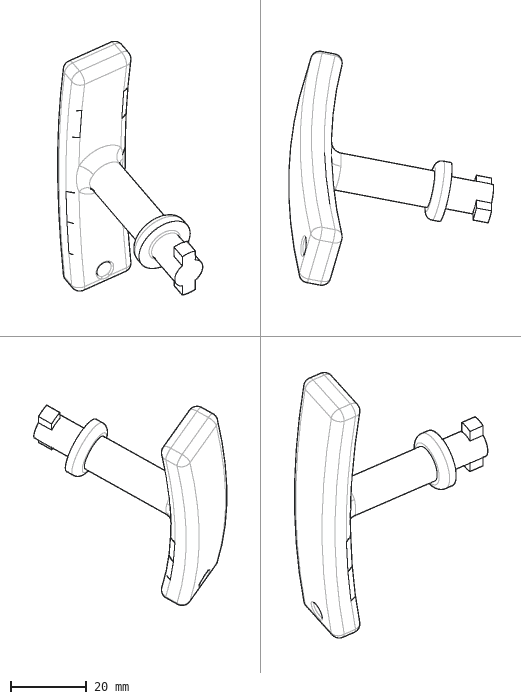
import cadquery as cq
import math

grip_length = 83.0
grip_width = 18.0
grip_thickness = 8.5
grip_outer_radius = 269.75
grip_edge_fillet = 2.5

lanyard_diameter = 4.5
lanyard_rim = 0.5
lanyard_height = -36.3

overall_reach = 53.0
stem_diameter = 10.0
stem_root_fillet = 3.15
collar_start = 36.85
collar_thickness = 4.1
collar_diameter = 15.9
collar_fillet = 2.0
tip_diameter = 8.7
tip_root_fillet = 0.5

lug_length = 4.15
lug_width = 4.1
lug_span = 15.3

half_length = grip_length / 2
grip_inner_radius = grip_outer_radius - grip_thickness
collar_end = collar_start + collar_thickness


def arc_drop(radius):
    """Distance an arc bends toward +X between its middle and the grip end."""
    return radius - math.sqrt(radius**2 - half_length**2)


def rod(start, end, diameter):
    """Cylinder along the X axis."""
    return cq.Workplane("YZ", origin=(start, 0, 0)).circle(diameter / 2).extrude(end - start)


def make_grip():
    """Bowed bar between two concentric arcs, with every edge rounded."""
    outer_end = arc_drop(grip_outer_radius)
    inner_end = grip_thickness + arc_drop(grip_inner_radius)
    return (
        cq.Workplane("XZ")
        .moveTo(outer_end, -half_length)
        .threePointArc((0, 0), (outer_end, half_length))
        .lineTo(inner_end, half_length)
        .threePointArc((grip_thickness, 0), (inner_end, -half_length))
        .close()
        .extrude(grip_width / 2, both=True)
        .edges()
        .fillet(grip_edge_fillet)
    )


def make_handle():
    """Grip and stem blended together, with the lanyard hole."""
    handle = make_grip().union(rod(grip_thickness / 2, collar_start, stem_diameter))
    root_box = cq.selectors.BoxSelector(
        (grip_thickness / 2, -stem_diameter, -stem_diameter),
        (1.5 * grip_thickness, stem_diameter, stem_diameter),
    )
    handle = handle.edges(root_box).edges("not %CIRCLE").edges("not %LINE").fillet(stem_root_fillet)
    hole = (
        cq.Workplane("YZ")
        .center(0, lanyard_height)
        .circle(lanyard_diameter / 2)
        .extrude(2 * grip_thickness)
    )
    rim_radius = lanyard_diameter / 2 + lanyard_rim
    rim_box = cq.selectors.BoxSelector(
        (0, -rim_radius, lanyard_height - rim_radius),
        (2 * grip_thickness, rim_radius, lanyard_height + rim_radius),
    )
    return handle.cut(hole).edges(rim_box).edges("not %LINE").fillet(lanyard_rim)


def make_collar_and_tip():
    """Collar rounded on the grip side, with the tip blended into its far face."""
    collar = rod(collar_start, collar_end, collar_diameter).edges("<X").fillet(collar_fillet)
    tip = rod(collar_end, overall_reach, tip_diameter)
    inner_circle = cq.selectors.RadiusNthSelector(0)
    collar_far_face = collar.union(tip).faces("%PLANE").faces("<X[1]")
    return collar_far_face.edges(inner_circle).fillet(tip_root_fillet)


def make_lugs():
    """Bar across the tip whose outer ends are rounded about the stem axis."""
    lug_start = overall_reach - lug_length
    bar = cq.Workplane("XY").box(lug_length, lug_width, lug_span)
    bar = bar.translate((lug_start + lug_length / 2, 0, 0))
    return bar.intersect(rod(lug_start, overall_reach, lug_span))


result = make_handle().union(make_collar_and_tip()).union(make_lugs())